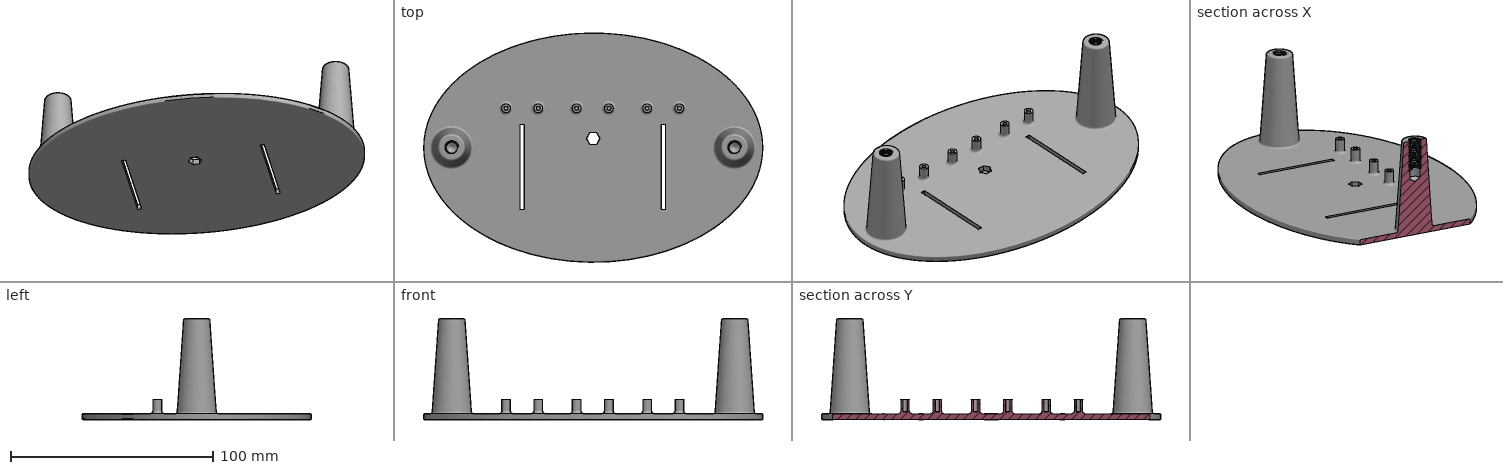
import cadquery as cq
import math

plate_length = 167.9
plate_width = 113.5
plate_thickness = 3.0
plate_edge_fillet = 0.5

total_height = 50.0
post_offset = 70.0
post_base_diameter = 19.6
post_top_diameter = 13.1
post_fillet = 1.0
post_hole_diameter = 5.5
post_hole_depth = 20.1

thread_pitch = 1.0
thread_depth = 0.7
thread_turns = 16
thread_fill = 0.9
thread_overlap = 0.2

pin_diameter = 4.4
pin_height = 7.0
pin_root_fillet = 1.5
pin_hole_diameter = 2.0
pin_hole_depth = 6.0
pin_spacing = 16.0
pin_pair_pitch = 35.0
pin_row_y = 19.5

hex_hole_flats = 5.7
hex_hole_y = 4.5
slot_width = 2.0
slot_length = 42.0
slot_y = -9.5

layout_center_x = -0.25

drill_point_angle = 118.0


def drilled_hole(diameter, depth, top_z):
    """Blind hole around the Z axis with a conical drill point at its bottom."""
    radius = diameter / 2
    point_depth = radius / math.tan(math.radians(drill_point_angle / 2))
    floor_z = top_z - depth
    profile = [(0, top_z), (radius, top_z), (radius, floor_z), (0, floor_z - point_depth)]
    return cq.Workplane("XZ").polyline(profile).close().revolve(360, (0, 0), (0, 1))


def thread_groove(hole_diameter, top_z):
    """V-shaped helical groove around the Z axis, opening at -X in the top face."""
    inner_radius = hole_diameter / 2 - thread_overlap
    root_radius = hole_diameter / 2 + thread_depth
    half_width = thread_pitch * thread_fill / 2
    rise = (thread_turns + 1) * thread_pitch
    corners = [(inner_radius, -half_width), (inner_radius, half_width), (root_radius, 0)]

    helices = [
        cq.Wire.makeHelix(thread_pitch, rise, radius).translate(cq.Vector(0, 0, offset))
        for radius, offset in corners
    ]
    faces = [cq.Face.makeRuledSurface(helices[i - 1], helices[i]) for i in range(len(corners))]
    for end_z in (0, rise):
        outline = [cq.Vector(radius, 0, end_z + offset) for radius, offset in corners]
        faces.append(cq.Face.makeFromWires(cq.Wire.makePolygon(outline, close=True)))
    groove = cq.Workplane(cq.Solid.makeSolid(cq.Shell.makeShell(faces)))

    groove = groove.rotate((0, 0, 0), (0, 0, 1), 180)
    return groove.translate((0, 0, top_z - thread_turns * thread_pitch))


def round_column(base_diameter, top_diameter, height):
    """Cone or cylinder around the Z axis, standing on the plate."""
    base_radius = base_diameter / 2
    top_radius = top_diameter / 2
    top_z = plate_thickness + height
    profile = [(0, plate_thickness), (base_radius, plate_thickness), (top_radius, top_z), (0, top_z)]
    return cq.Workplane("XZ").polyline(profile).close().revolve(360, (0, 0), (0, 1))


def column_root_box(x, y, diameter):
    """Selector for the edge where a column meets the top of the plate."""
    margin = 0.2
    reach = diameter / 2 + margin
    return cq.selectors.BoxSelector(
        (x - reach, y - reach, plate_thickness - margin),
        (x + reach, y + reach, plate_thickness + margin),
        boundingbox=True,
    )


part = cq.Workplane("XY").ellipse(plate_length / 2, plate_width / 2).extrude(plate_thickness)
part = part.edges().fillet(plate_edge_fillet)

post = round_column(post_base_diameter, post_top_diameter, total_height - plate_thickness)
post = post.faces(">Z").edges().fillet(post_fillet)
post_hole = drilled_hole(post_hole_diameter, post_hole_depth, total_height)
post_thread = thread_groove(post_hole_diameter, total_height)
post = post.cut(post_hole).cut(post_thread)
for post_x in (-post_offset, post_offset):
    part = part.union(post.translate((post_x, 0, 0)))
    part = part.edges(column_root_box(post_x, 0, post_base_diameter)).fillet(post_fillet)

pin = round_column(pin_diameter, pin_diameter, pin_height)
pin = pin.faces(">Z").workplane().hole(pin_hole_diameter, pin_hole_depth)
for pair in (-1, 0, 1):
    for side in (-1, 1):
        pin_x = layout_center_x + pair * pin_pair_pitch + side * pin_spacing / 2
        part = part.union(pin.translate((pin_x, pin_row_y, 0)))
        part = part.edges(column_root_box(pin_x, pin_row_y, pin_diameter)).fillet(pin_root_fillet)

hex_corner_diameter = hex_hole_flats / math.cos(math.pi / 6)
hex_hole = cq.Workplane("XY").center(0, hex_hole_y).polygon(6, hex_corner_diameter)
part = part.cut(hex_hole.extrude(plate_thickness))
for side in (-1, 1):
    slot_x = layout_center_x + side * pin_pair_pitch
    slot = cq.Workplane("XY").center(slot_x, slot_y).rect(slot_width, slot_length)
    part = part.cut(slot.extrude(plate_thickness))

result = part